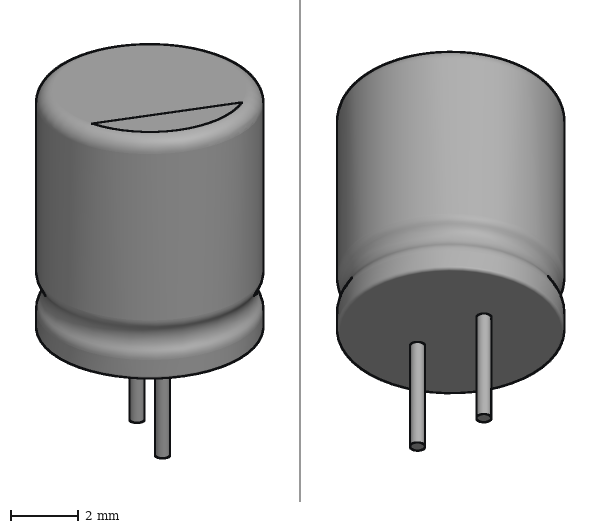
import cadquery as cq
import math

TOTAL_HEIGHT = 11.6
LEAD_LENGTH = 3.6
LEAD_DIAMETER = 0.45
LEAD_PITCH = 2.5

CAN_RADIUS = 3.4
CAN_HEIGHT = TOTAL_HEIGHT - LEAD_LENGTH
TOP_FILLET = 0.5
BOTTOM_FILLET = 0.1

GROOVE_CENTER_Z = 1.31
GROOVE_DEPTH = 0.21
WAIST_ARC_RADIUS = 0.65
SHOULDER_ARC_RADIUS = 0.5

MARK_RADIUS = CAN_RADIUS - TOP_FILLET
MARK_EDGE_X = CAN_RADIUS / 2
MARK_THICKNESS = 0.1


def make_can_blank():
    """Revolve the wall profile with its crimp groove, then round both rims."""
    blend_angle = math.acos(1 - GROOVE_DEPTH / (WAIST_ARC_RADIUS + SHOULDER_ARC_RADIUS))
    groove_half_width = (WAIST_ARC_RADIUS + SHOULDER_ARC_RADIUS) * math.sin(blend_angle)
    waist_half_width = WAIST_ARC_RADIUS * math.sin(blend_angle)
    blend_radius = CAN_RADIUS - SHOULDER_ARC_RADIUS * (1 - math.cos(blend_angle))
    shoulder_mid_radius = CAN_RADIUS - SHOULDER_ARC_RADIUS * (1 - math.cos(blend_angle / 2))
    shoulder_mid_offset = groove_half_width - SHOULDER_ARC_RADIUS * math.sin(blend_angle / 2)

    profile = (
        cq.Workplane("XZ")
        .lineTo(CAN_RADIUS, 0)
        .lineTo(CAN_RADIUS, GROOVE_CENTER_Z - groove_half_width)
        .threePointArc(
            (shoulder_mid_radius, GROOVE_CENTER_Z - shoulder_mid_offset),
            (blend_radius, GROOVE_CENTER_Z - waist_half_width),
        )
        .threePointArc(
            (CAN_RADIUS - GROOVE_DEPTH, GROOVE_CENTER_Z),
            (blend_radius, GROOVE_CENTER_Z + waist_half_width),
        )
        .threePointArc(
            (shoulder_mid_radius, GROOVE_CENTER_Z + shoulder_mid_offset),
            (CAN_RADIUS, GROOVE_CENTER_Z + groove_half_width),
        )
        .lineTo(CAN_RADIUS, CAN_HEIGHT)
        .lineTo(0, CAN_HEIGHT)
        .close()
    )
    blank = profile.revolve(360, (0, 0, 0), (0, 1, 0))
    blank = blank.faces(">Z").edges().fillet(TOP_FILLET)
    return blank.faces("<Z").edges().fillet(BOTTOM_FILLET)


def make_polarity_mark():
    """Thin circular segment on the +X side of the top."""
    half_chord = math.sqrt(MARK_RADIUS**2 - MARK_EDGE_X**2)
    return (
        cq.Workplane("XY", origin=(0, 0, CAN_HEIGHT - MARK_THICKNESS))
        .moveTo(MARK_EDGE_X, -half_chord)
        .threePointArc((MARK_RADIUS, 0), (MARK_EDGE_X, half_chord))
        .close()
        .extrude(MARK_THICKNESS)
    )


def make_lead(x):
    """Straight round lead hanging from the underside of the can."""
    return cq.Workplane("XY").center(x, 0).circle(LEAD_DIAMETER / 2).extrude(-LEAD_LENGTH)


polarity_mark = make_polarity_mark()
can = make_can_blank().cut(polarity_mark)
leads = [make_lead(side * LEAD_PITCH / 2) for side in (-1, 1)]

result = cq.Compound.makeCompound(
    [can.val(), polarity_mark.val(), *[lead.val() for lead in leads]]
)